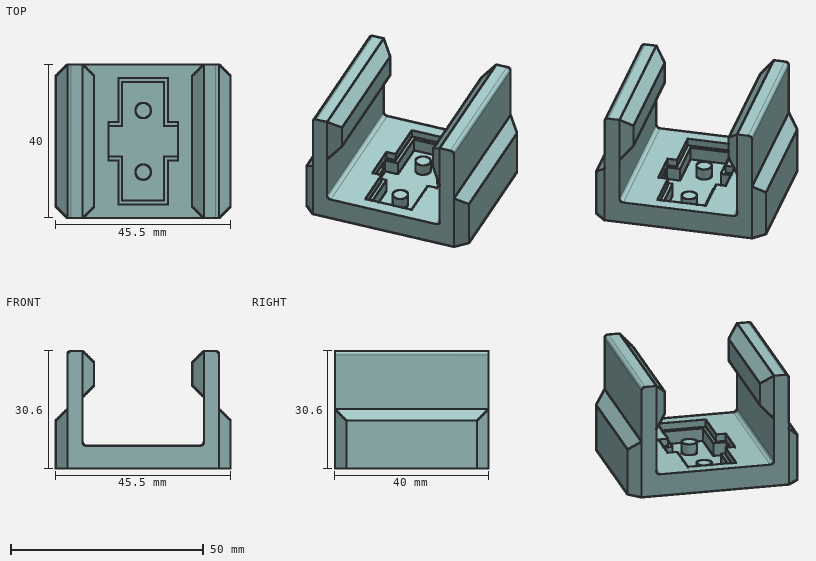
import cadquery as cq

total_width = 45.5
length = 40.0
height = 30.6

rib_depth = 3.0
wall = 4.0
floor = 6.0
corner_radius = 1.0
channel_width = total_width - 2 * rib_depth
inner_width = channel_width - 2 * wall

outer_rib_height = 15.5
inner_rib_height = 12.0

pocket_length = 32.8
pocket_width = 12.9
arm_span = 18.0
arm_length = 10.0
ledge = 1.0
ledge_depth = 2.0
pocket_depth = 5.5

groove_length = 6.0
groove_depth = 1.0
groove_center_below_floor = 3.0
groove_center_z = floor - groove_center_below_floor

peg_diameter = 4.0
peg_spacing = 16.0
peg_height = 3.0


def centered_box(x_size, y_size, z_size, bottom):
    """Box centred in X and Y, with its underside at the given height."""
    base = cq.Workplane("XY", origin=(0, 0, bottom))
    return base.box(x_size, y_size, z_size, centered=(True, True, False))


def along_y(outline, y_size):
    """Extrude an XZ outline symmetrically about Y = 0."""
    return cq.Workplane("XZ").polyline(outline).close().extrude(y_size / 2, both=True)


def both_sides(body):
    """Join a body with its mirror image across the YZ plane."""
    return body.union(body.mirror("YZ"))


def make_channel():
    """U-shaped body with rounded inner corners and outer top edges."""
    body = centered_box(channel_width, length, height, 0)
    body = body.faces(">Z").edges("|Y").fillet(corner_radius)
    opening = centered_box(inner_width, length, height - floor, floor)
    opening = opening.faces("<Z").edges("|Y").fillet(corner_radius)
    return body.cut(opening)


def make_rib(root_x, direction, bottom, top, bottom_bevel):
    """Rib on a wall at root_x, bevelled at both ends, at the top and optionally below."""
    root = root_x - direction * wall / 2
    tip = root_x + direction * rib_depth
    half = length / 2
    plan = [(root, -half), (root_x, -half), (tip, rib_depth - half),
            (tip, half - rib_depth), (root_x, half), (root, half)]
    plan_body = cq.Workplane("XY", origin=(0, 0, bottom)).polyline(plan).close().extrude(top - bottom)
    profile = [(root, bottom), (root_x, bottom), (tip, bottom + bottom_bevel),
               (tip, top - rib_depth), (root_x, top), (root, top)]
    if bottom_bevel == 0:
        profile.pop(1)
    return plan_body.intersect(along_y(profile, length))


def make_cross(inset, depth):
    """Cross-shaped cutter reaching the given depth below the floor surface."""
    bottom = floor - depth
    main = centered_box(pocket_width - 2 * inset, pocket_length - 2 * inset, depth, bottom)
    arms = centered_box(arm_span, arm_length - 2 * inset, depth, bottom)
    return main.union(arms)


def make_groove():
    """Triangular latch groove with 45 degree faces."""
    x = arm_span / 2
    outline = [(x, groove_center_z - groove_depth), (x + groove_depth, groove_center_z),
               (x, groove_center_z + groove_depth)]
    return along_y(outline, groove_length)


outer_rib = make_rib(channel_width / 2, 1, 0, outer_rib_height, 0)
inner_rib = make_rib(inner_width / 2, -1, height - inner_rib_height, height, rib_depth)
result = make_channel().union(both_sides(outer_rib)).union(both_sides(inner_rib))

result = result.cut(make_cross(0, ledge_depth)).cut(make_cross(ledge, pocket_depth))
result = result.cut(both_sides(make_groove()))

pegs = (
    cq.Workplane("XY", origin=(0, 0, floor - pocket_depth))
    .rarray(0.45, peg_spacing, 1, 2)
    .circle(peg_diameter / 2)
    .extrude(peg_height)
)
result = result.union(pegs)